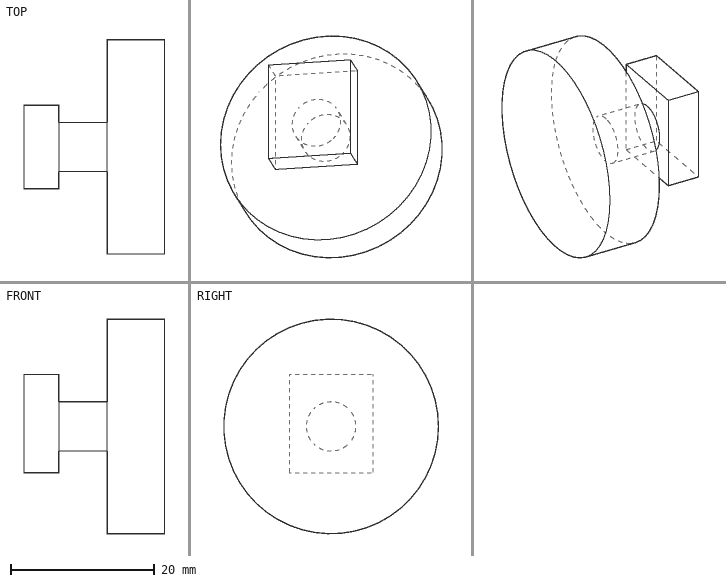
import cadquery as cq

overall_length = 19.65
disc_diameter = 30.0
disc_thickness = 8.0
stem_diameter = 6.9
plate_thickness = 4.9
plate_width = 11.7
plate_height = 13.77
plate_rise = 0.4

stem_start = plate_thickness
disc_start = overall_length - disc_thickness
stem_length = disc_start - stem_start


def make_cylinder(diameter, start, length):
    """Solid cylinder on the X axis, running toward +X from start."""
    return cq.Workplane("YZ", origin=(start, 0, 0)).circle(diameter / 2).extrude(length)


def make_disc():
    """Large round disc at the +X end."""
    return make_cylinder(disc_diameter, disc_start, disc_thickness)


def make_stem():
    """Round stem that fills the space between plate and disc."""
    return make_cylinder(stem_diameter, stem_start, stem_length)


def make_plate():
    """Rectangular plate at the -X end, set slightly above the stem axis."""
    return (
        cq.Workplane("YZ", origin=(0, 0, plate_rise))
        .rect(plate_width, plate_height)
        .extrude(plate_thickness)
    )


disc = make_disc()
stem = make_stem()
plate = make_plate()

result = cq.Compound.makeCompound([disc.val(), stem.val(), plate.val()])